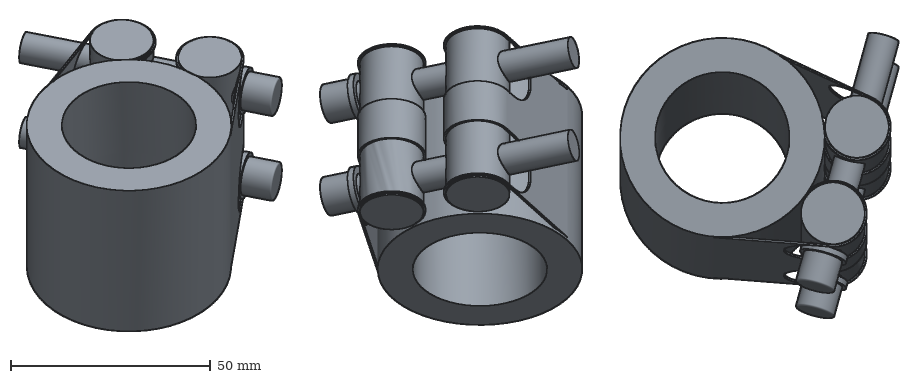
import cadquery as cq
import math

sleeve_radius = 51.3 / 2
bore_radius = 33.7 / 2
sleeve_height = 46.0

barrel_radius = 16.0 / 2
barrel_height = 45.15
barrel_x = 11.55
barrel_y = 31.8
strap_thickness = 0.5
strap_height = 44.15
slot_width = 16.0
slot_z = 13.8
slot_end_drop = 1.9

bolt_z = 13.85
shank_radius = 8.0 / 2
shank_start_x = -37.25
washer_radius = 12.0 / 2
washer_x = barrel_x + barrel_radius
washer_thickness = 1.6
head_radius = 10.0 / 2
head_end_x = shank_start_x + 66.3
head_fillet = 0.45


def upright(radius, height, x=0, y=0):
    """Vertical cylinder centred on Z = 0."""
    return cq.Workplane("XY").center(x, y).circle(radius).extrude(height / 2, both=True)


def polar(center, radius, angle):
    """Point on a circle at the given angle in radians."""
    return (center[0] + radius * math.cos(angle), center[1] + radius * math.sin(angle))


def along_x(radius, start, end, z):
    """Cylinder along X at the height of a bolt."""
    return cq.Workplane("YZ", origin=(start, barrel_y, z)).circle(radius).extrude(end - start)


def left_strap():
    """Band leaving the sleeve on a tangent and wrapping the left barrel."""
    sleeve_center = (0, 0)
    barrel_center = (-barrel_x, barrel_y)
    wrap_radius = barrel_radius + strap_thickness
    sleeve_inner = sleeve_radius - strap_thickness

    center_angle = math.atan2(barrel_y, -barrel_x)
    center_distance = math.hypot(barrel_x, barrel_y)
    tangent_angle = center_angle + math.acos((sleeve_radius - wrap_radius) / center_distance)

    end_angle = center_angle - math.pi
    middle_angle = (tangent_angle + end_angle) / 2

    band = (
        cq.Workplane("XY")
        .moveTo(*polar(sleeve_center, sleeve_radius, tangent_angle))
        .lineTo(*polar(barrel_center, wrap_radius, tangent_angle))
        .threePointArc(
            polar(barrel_center, wrap_radius, middle_angle),
            polar(barrel_center, wrap_radius, end_angle),
        )
        .lineTo(*polar(barrel_center, barrel_radius, end_angle))
        .threePointArc(
            polar(barrel_center, barrel_radius, middle_angle),
            polar(barrel_center, barrel_radius, tangent_angle),
        )
        .lineTo(*polar(sleeve_center, sleeve_inner, tangent_angle))
        .close()
        .extrude(strap_height / 2, both=True)
    )
    for side in (-1, 1):
        band = band.cut(bolt_slot(side * slot_z))
    return band


def bolt_slot(z):
    """Round-ended clearance slot for a bolt, open over the top of the wrap."""
    end_y = barrel_y - slot_end_drop
    length = 2 * (barrel_radius + strap_thickness)
    depth = 2 * sleeve_radius
    round_end = cq.Workplane("YZ").center(end_y, z).circle(slot_width / 2).extrude(-depth)
    straight = (
        cq.Workplane("YZ")
        .center(end_y + length / 2, z)
        .rect(length, slot_width)
        .extrude(-depth)
    )
    return round_end.union(straight)


def bolt(z):
    """Shank through both barrels, with a washer and a cylindrical head."""
    head_start_x = washer_x + washer_thickness
    shank = along_x(shank_radius, shank_start_x, head_start_x, z)
    washer = along_x(washer_radius, washer_x, head_start_x, z)
    head = along_x(head_radius, head_start_x, head_end_x, z).faces(">X").edges().fillet(head_fillet)
    return shank.union(washer).union(head)


strap = left_strap()
body = upright(sleeve_radius, sleeve_height).union(strap).union(strap.mirror("YZ"))
for side in (-1, 1):
    body = body.union(upright(barrel_radius, barrel_height, side * barrel_x, barrel_y))
    body = body.union(bolt(side * bolt_z))

result = body.cut(upright(bore_radius, sleeve_height))